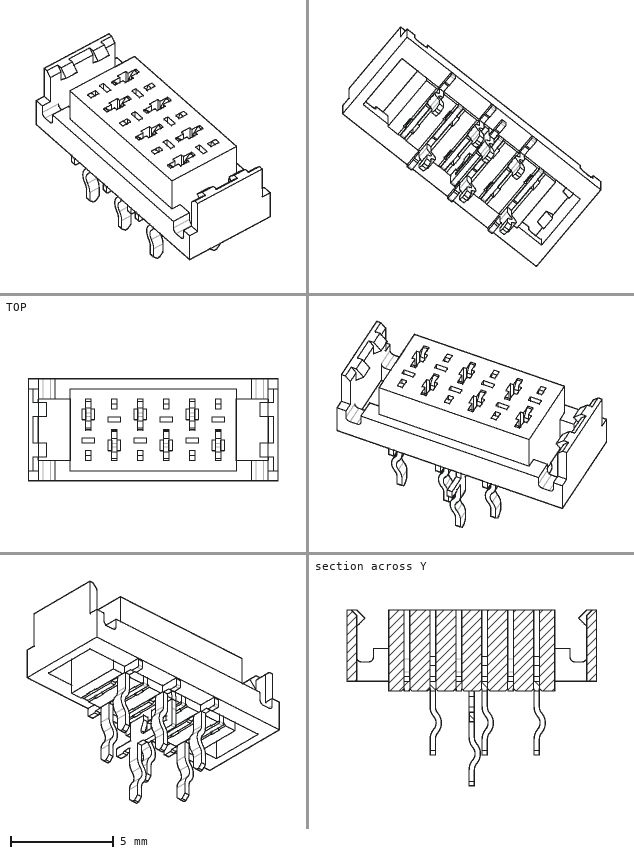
import cadquery as cq
import math


LENGTH = 12.22
WIDTH = 5.0
HEIGHT = 3.5
RAIL_HEIGHT = 1.61
RAIL_WIDTH = 1.0
WALL_THICKNESS = 0.49
TOWER_LENGTH = 8.14
TOWER_WIDTH = 4.01
BASE_DEPTH = 0.48
BASE_WIDTH = WIDTH - 2 * RAIL_WIDTH
WALL_FACE = LENGTH / 2 - WALL_THICKNESS

RELIEF_WIDTH = 0.81
RELIEF_FLOOR = 0.95
RELIEF_RADIUS = 0.22

HOOK_REACH = 0.4
HOOK_WIDTH = 0.7
HOOK_OFFSET = 0.99
LEAD_IN = 0.27

KEY_POCKET_INNER = 0.39
KEY_POCKET_WIDTH = 0.25
KEY_POCKET_DEPTH = 0.49
CAVITY_LENGTH = 0.6
CAVITY_INNER = 0.5
CAVITY_WIDTH = 0.51
SLOT_CHAMFER = 0.12

STRIP = 0.27
POSITIONS = 6
PITCH = 1.27
SPARE_DROP = 1.5

BAR_OUTER = WIDTH / 2
BAR_INNER = -BASE_WIDTH / 2
BAR_ROUND = 0.09
NOTCH_DEPTH = 0.09
NOTCH_OUTER = 2.02
NOTCH_INNER = 0.49

POST_OUTER = BASE_WIDTH / 2
POST_WIDTH = 0.49
POST_FLAT = 0.25
POST_TAPER = 0.98
POST_SHOULDER = 1.22
SHOULDER_INNER = 0.54
GUSSET_INNER = 0.75
GUSSET_RADIUS = 0.25
GUSSET_TOP = 0.77

FORK_FLOOR = 0.65
FORK_UNDERSIDE = 0.25
MIDDLE_PRONG = (-0.43, -0.02)
MIDDLE_PRONG_TIP = -0.09
MIDDLE_LEAN_START = 1.1
MIDDLE_ROOT_RADIUS = 0.23
MIDDLE_HEEL_RADIUS = 0.21
OUTER_PRONG_INNER = -1.08
OUTER_PRONG_TIP = -1.39
OUTER_LEAN_START = 0.49
OUTER_ROOT_RADIUS = 0.25
PRONG_LEAD_IN = 0.38
SLOT_END = 0.01

LEG_OUTER = 1.56
LEG_WIDTH = 0.59
LEG_LENGTH = 3.6
LEG_TIP = 0.22
KINK_TOP = -1.25
KINK_HEIGHT = 1.58
KINK_OFFSET = 0.29


def block(x_range, y_range, z_range):
    """Box between pairs of X, Y and Z limits."""
    (x0, x1), (y0, y1), (z0, z1) = x_range, y_range, z_range
    return cq.Workplane("XY").box(x1 - x0, y1 - y0, z1 - z0, centered=False).translate((x0, y0, z0))


def centred(size, middle=0.0):
    """Limits of a length centred on a place."""
    return (middle - size / 2, middle + size / 2)


def both_ends(body):
    """The body and its mirror image at the other end of the connector."""
    return body.union(body.mirror("YZ"))


def turned(body, row):
    """The body as it stands in row +1, or turned half round about Z for row -1."""
    return body if row > 0 else body.rotate((0, 0, 0), (0, 0, 1), 180)


def quarter_round(start, corner, end):
    """Middle and end of a quarter circle that rounds off a right-angled corner."""
    share = 1 - math.sqrt(0.5)
    middle = tuple(c + share * (s + e - 2 * c) for s, c, e in zip(start, corner, end))
    return middle, end


def contact_plate():
    """Bar with a fork and a retention post."""
    notch_level = NOTCH_DEPTH - BASE_DEPTH
    tip_base = HEIGHT - PRONG_LEAD_IN
    middle_inner, middle_back = MIDDLE_PRONG
    post_inner = POST_OUTER - POST_WIDTH

    bar_inner_round = quarter_round(
        (BAR_INNER + BAR_ROUND, -BASE_DEPTH),
        (BAR_INNER, -BASE_DEPTH),
        (BAR_INNER, BAR_ROUND - BASE_DEPTH),
    )
    bar_outer_round = quarter_round(
        (BAR_OUTER, BAR_ROUND - BASE_DEPTH),
        (BAR_OUTER, -BASE_DEPTH),
        (BAR_OUTER - BAR_ROUND, -BASE_DEPTH),
    )
    outer_root = quarter_round(
        (OUTER_PRONG_INNER, FORK_FLOOR + OUTER_ROOT_RADIUS),
        (OUTER_PRONG_INNER, FORK_FLOOR),
        (OUTER_PRONG_INNER + OUTER_ROOT_RADIUS, FORK_FLOOR),
    )
    middle_root = quarter_round(
        (middle_inner - MIDDLE_ROOT_RADIUS, FORK_FLOOR),
        (middle_inner, FORK_FLOOR),
        (middle_inner, FORK_FLOOR + MIDDLE_ROOT_RADIUS),
    )
    middle_heel = quarter_round(
        (middle_back, FORK_UNDERSIDE + MIDDLE_HEEL_RADIUS),
        (middle_back, FORK_UNDERSIDE),
        (middle_back - MIDDLE_HEEL_RADIUS, FORK_UNDERSIDE),
    )
    gusset_round = quarter_round(
        (GUSSET_INNER - GUSSET_RADIUS, 0),
        (GUSSET_INNER, 0),
        (GUSSET_INNER, GUSSET_RADIUS),
    )
    return (
        cq.Workplane("YZ")
        .moveTo(BAR_OUTER - BAR_ROUND, -BASE_DEPTH)
        .lineTo(NOTCH_OUTER, -BASE_DEPTH)
        .lineTo(NOTCH_OUTER - NOTCH_DEPTH, notch_level)
        .lineTo(NOTCH_INNER + NOTCH_DEPTH, notch_level)
        .lineTo(NOTCH_INNER, -BASE_DEPTH)
        .lineTo(BAR_INNER + BAR_ROUND, -BASE_DEPTH)
        .threePointArc(*bar_inner_round)
        .lineTo(BAR_INNER, OUTER_LEAN_START)
        .lineTo(OUTER_PRONG_TIP, HEIGHT)
        .lineTo(OUTER_PRONG_INNER, tip_base)
        .lineTo(OUTER_PRONG_INNER, FORK_FLOOR + OUTER_ROOT_RADIUS)
        .threePointArc(*outer_root)
        .lineTo(middle_inner - MIDDLE_ROOT_RADIUS, FORK_FLOOR)
        .threePointArc(*middle_root)
        .lineTo(middle_inner, tip_base)
        .lineTo(MIDDLE_PRONG_TIP, HEIGHT)
        .lineTo(middle_back, MIDDLE_LEAN_START)
        .lineTo(middle_back, FORK_UNDERSIDE + MIDDLE_HEEL_RADIUS)
        .threePointArc(*middle_heel)
        .lineTo(OUTER_PRONG_INNER, FORK_UNDERSIDE)
        .lineTo(OUTER_PRONG_INNER, 0)
        .lineTo(GUSSET_INNER - GUSSET_RADIUS, 0)
        .threePointArc(*gusset_round)
        .lineTo(SHOULDER_INNER, GUSSET_TOP)
        .lineTo(SHOULDER_INNER, POST_SHOULDER)
        .lineTo(post_inner, POST_SHOULDER)
        .lineTo(post_inner, HEIGHT - POST_TAPER)
        .lineTo(POST_OUTER - POST_FLAT, HEIGHT)
        .lineTo(POST_OUTER, HEIGHT)
        .lineTo(POST_OUTER, 0)
        .lineTo(BAR_OUTER, 0)
        .lineTo(BAR_OUTER, BAR_ROUND - BASE_DEPTH)
        .threePointArc(*bar_outer_round)
        .close()
        .extrude(STRIP / 2, both=True)
    )


def contact_leg():
    """Solder leg with a kink of four equal arcs toward +X and a pointed tip."""
    quarter = KINK_HEIGHT / 4
    arc_rise = KINK_OFFSET / 2
    mid_radius = (quarter**2 + arc_rise**2) / (2 * arc_rise)
    sweep = math.asin(quarter / mid_radius)
    kink_middle = KINK_TOP - KINK_HEIGHT / 2
    kink_end = KINK_TOP - KINK_HEIGHT

    def edge_points(side):
        """Arc ends and middles of one edge; side is +1 for the +X edge and -1 for the -X edge."""
        straight_radius = mid_radius - side * STRIP / 2
        apex_radius = mid_radius + side * STRIP / 2
        straight_centre = mid_radius
        apex_centre = KINK_OFFSET - mid_radius

        def from_straight(angle, level, way):
            """Point on an end arc, turned by an angle from the straight at a level, going down or up."""
            return (
                straight_centre - straight_radius * math.cos(angle),
                level - way * straight_radius * math.sin(angle),
            )

        apex = (apex_centre + apex_radius, kink_middle)
        return [
            from_straight(0, KINK_TOP, 1),
            from_straight(sweep / 2, KINK_TOP, 1),
            from_straight(sweep, KINK_TOP, 1),
            apex,
            from_straight(sweep, kink_end, -1),
            from_straight(sweep / 2, kink_end, -1),
            from_straight(0, kink_end, -1),
        ]

    left = edge_points(-1)
    right = edge_points(1)[::-1]
    leg_top = NOTCH_DEPTH - BASE_DEPTH
    strip = (
        cq.Workplane("XZ")
        .moveTo(-STRIP / 2, leg_top)
        .lineTo(*left[0])
        .threePointArc(left[1], left[2])
        .threePointArc(left[3], left[4])
        .threePointArc(left[5], left[6])
        .lineTo(-STRIP / 2, -LEG_LENGTH)
        .lineTo(STRIP / 2, -LEG_LENGTH)
        .lineTo(*right[0])
        .threePointArc(right[1], right[2])
        .threePointArc(right[3], right[4])
        .threePointArc(right[5], right[6])
        .lineTo(STRIP / 2, leg_top)
        .close()
        .extrude(LEG_WIDTH)
        .translate((0, LEG_OUTER, 0))
    )
    return strip.faces("<Z").edges("|X").chamfer(LEG_TIP)


def make_contact():
    """Contact of the +Y row, centred on X = 0."""
    return contact_plate().union(contact_leg())


def place_contact(contact, x, row):
    """Contact in its station; those of the -Y row have the upper outer edge of the bar rounded."""
    if row < 0:
        contact = contact.faces(">Y").edges(">Z").fillet(BAR_ROUND)
    return turned(contact, row).translate((x, 0, 0))


def frame():
    """Two rails and two end walls around the tower."""
    rails = block(centred(LENGTH), centred(WIDTH), (0, RAIL_HEIGHT))
    window = block(centred(2 * WALL_FACE), centred(BASE_WIDTH), (0, RAIL_HEIGHT))
    end_wall = block((WALL_FACE, LENGTH / 2), centred(TOWER_WIDTH), (RAIL_HEIGHT, HEIGHT))
    end_wall = end_wall.edges("<X and >Z").chamfer(LEAD_IN)
    return rails.cut(window).union(both_ends(end_wall))


def tower():
    """Block that carries the contacts, with its narrower base below the rails."""
    upper = block(centred(TOWER_LENGTH), centred(TOWER_WIDTH), (0, HEIGHT))
    base = block(centred(TOWER_LENGTH), centred(BASE_WIDTH), (-BASE_DEPTH, 0))
    return upper.union(base)


def relief():
    """Round-bottomed cut that frees the end wall from the rails."""
    cut = block((WALL_FACE - RELIEF_WIDTH, WALL_FACE), centred(WIDTH), (RELIEF_FLOOR, HEIGHT))
    return cut.edges("|Y and <Z").fillet(RELIEF_RADIUS)


def hooks():
    """Pair of latch noses at the top of the end wall."""
    profile = [
        (WALL_FACE + LEAD_IN, HEIGHT),
        (WALL_FACE, HEIGHT),
        (WALL_FACE - HOOK_REACH, HEIGHT - HOOK_REACH),
        (WALL_FACE, HEIGHT - 2 * HOOK_REACH),
        (WALL_FACE + LEAD_IN, HEIGHT - 2 * HOOK_REACH),
    ]
    hook = cq.Workplane("XZ").polyline(profile).close().extrude(HOOK_WIDTH / 2, both=True)
    return hook.translate((0, HOOK_OFFSET, 0)).union(hook.translate((0, -HOOK_OFFSET, 0)))


def station_cuts():
    """Openings for one contact of the +Y row, centred on X = 0."""
    slot_x = centred(STRIP)
    key_y = (KEY_POCKET_INNER, KEY_POCKET_INNER + KEY_POCKET_WIDTH)
    cavity_y = (-CAVITY_INNER - CAVITY_WIDTH, -CAVITY_INNER)
    through = (-BASE_DEPTH, HEIGHT)

    cuts = block(slot_x, (BAR_INNER, SLOT_END), through)
    cuts = cuts.union(block(slot_x, (POST_OUTER - POST_WIDTH, POST_OUTER), through))
    cuts = cuts.union(block(slot_x, centred(BASE_WIDTH), (-BASE_DEPTH, POST_SHOULDER)))
    cuts = cuts.union(block(centred(CAVITY_LENGTH), cavity_y, through))
    cuts = cuts.union(block(centred(CAVITY_LENGTH), key_y, (HEIGHT - KEY_POCKET_DEPTH, HEIGHT)))
    mouth = [
        (-STRIP / 2 - SLOT_CHAMFER, -BASE_DEPTH),
        (STRIP / 2 + SLOT_CHAMFER, -BASE_DEPTH),
        (STRIP / 2, SLOT_CHAMFER - BASE_DEPTH),
        (-STRIP / 2, SLOT_CHAMFER - BASE_DEPTH),
    ]
    return cuts.union(cq.Workplane("XZ").polyline(mouth).close().extrude(BASE_WIDTH / 2, both=True))


def make_housing(stations, spare):
    """Frame, tower and latches, cut out for the contacts and for the spare contact."""
    body = frame().union(tower()).cut(both_ends(relief())).union(both_ends(hooks()))
    cuts = station_cuts()
    for x, row in stations:
        body = body.cut(turned(cuts, row).translate((x, 0, 0)))
    return body.cut(spare)


stations = []
for position in range(POSITIONS):
    x_station = (position - (POSITIONS - 1) / 2) * PITCH
    row = 1 if position % 2 else -1
    stations.append((x_station, row))

contact = make_contact()
contacts = [place_contact(contact, x, row) for x, row in stations]
spare_contact = contact.translate((0, 0, -SPARE_DROP))
housing = make_housing(stations, spare_contact)

bodies = [body.solids().val() for body in (housing, spare_contact, *contacts)]
result = cq.Compound.makeCompound(bodies)